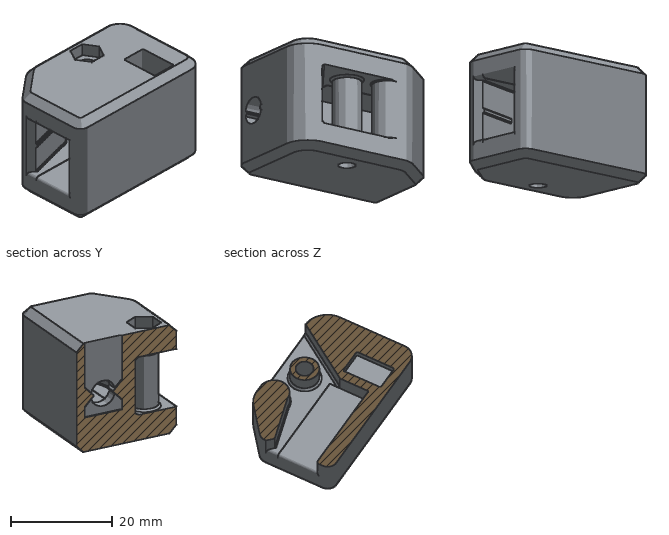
import cadquery as cq
import math


WIDTH = 22.7
DEPTH = 34.5
HEIGHT = 23.4
TOP = HEIGHT / 2
EDGE_CHAMFER = 1.6
CUT_CORNER_X = 6.52
CUT_CORNER_Y = 8.05
LEFT_RADIUS = 5.0
BACK_RIGHT_RADIUS = 3.0
CUT_CORNER_RADIUS = 2.5
FRONT_RIGHT_RADIUS = 2.0

CHAMBER_HEIGHT = 12.3
WINDOW_FRONT = 11.52
WINDOW_BACK = DEPTH - LEFT_RADIUS
BACK_WALL_Y = 20.9
SLANT_END_X = 12.75
SLANT_CHAMFER = 0.45

GUIDE_X = 9.07
GUIDE_NOSE_RADIUS = 3.1
GUIDE_END_Y = WINDOW_FRONT + GUIDE_NOSE_RADIUS
GUIDE_FOOT = 0.25
RIDGE_TIP_HALF = 0.3

CHANNEL_LEFT = 10.45
CHANNEL_RIGHT = 19.18
CHANNEL_HEIGHT = 12.5
OPENING_LEFT = 7.75
OPENING_RIGHT = 19.9
OPENING_HEIGHT = 13.9
LIP_SIZE = GUIDE_X - OPENING_LEFT

POST_X = 5.4
POST_Y = 19.65
POST_DIAMETER = 5.9
POST_FLARE = 0.45
SCREW_HOLE_DIAMETER = 3.5
NUT_FLATS = 5.9
NUT_DEPTH = 2.6

ROD_X = 16.55
ROD_HOLE_DIAMETER = 5.4
SLOT_WIDTH = 8.5
SLOT_FRONT = 23.05
SLOT_BACK = 28.45
SLOT_CORNER_RADIUS = 0.35
SLOT_FLOOR = -SLOT_WIDTH / 2
WAIST_WIDTH = 4.35
WAIST_HALF_HEIGHT = 0.1

OVERRUN = 0.35


def prism(outline, height):
    """Extrude a closed XY outline symmetrically about Z = 0."""
    return outline.close().extrude(height / 2, both=True)


def round_upright_edge(solid, x, y, radius):
    """Fillet the vertical edge that stands at (x, y)."""
    return solid.edges("|Z").edges(cq.NearestToPointSelector((x, y, 0))).fillet(radius)


def make_body():
    outline = (
        cq.Workplane("XY")
        .moveTo(CUT_CORNER_X, 0)
        .lineTo(WIDTH, 0)
        .lineTo(WIDTH, DEPTH)
        .lineTo(0, DEPTH)
        .lineTo(0, CUT_CORNER_Y)
    )
    body = prism(outline, HEIGHT)
    corners = [
        (CUT_CORNER_X, 0, CUT_CORNER_RADIUS),
        (WIDTH, 0, FRONT_RIGHT_RADIUS),
        (WIDTH, DEPTH, BACK_RIGHT_RADIUS),
        (0, DEPTH, LEFT_RADIUS),
        (0, CUT_CORNER_Y, LEFT_RADIUS),
    ]
    for x, y, radius in corners:
        body = round_upright_edge(body, x, y, radius)
    return body.faces("|Z").edges().chamfer(EDGE_CHAMFER)


def chamber_prism(height):
    """Plan of the roller chamber: front lip, guide wall, side window, slanted wall."""
    outline = (
        cq.Workplane("XY")
        .moveTo(CHANNEL_RIGHT, 0)
        .lineTo(OPENING_LEFT, 0)
        .lineTo(GUIDE_X, LIP_SIZE)
        .lineTo(2 * GUIDE_NOSE_RADIUS, WINDOW_FRONT)
        .threePointArc((GUIDE_NOSE_RADIUS, GUIDE_END_Y), (0, WINDOW_FRONT))
        .lineTo(-OVERRUN, WINDOW_FRONT)
        .lineTo(-OVERRUN, WINDOW_BACK)
        .lineTo(0, WINDOW_BACK)
        .lineTo(SLANT_END_X, BACK_WALL_Y)
        .lineTo(CHANNEL_RIGHT, BACK_WALL_Y)
    )
    return prism(outline, height)


def horizontal_edges_in(solid, low, high):
    """Floor and ceiling edges of the chamber whose centres lie in an XY box."""
    box = cq.selectors.BoxSelector((*low, -HEIGHT), (*high, HEIGHT))
    return solid.faces("|Z").edges(box)


def make_post():
    post = cq.Workplane("XY").circle(POST_DIAMETER / 2).extrude(CHAMBER_HEIGHT / 2, both=True)
    for side in (-1, 1):
        flare = (
            cq.Workplane("XY")
            .workplane(offset=side * CHAMBER_HEIGHT / 2)
            .circle(POST_DIAMETER / 2 + POST_FLARE)
            .workplane(offset=-side * POST_FLARE)
            .circle(POST_DIAMETER / 2)
            .loft()
        )
        post = post.union(flare)
    return post.translate((POST_X, POST_Y, 0))


def make_guide_ridge():
    """Low ridge along the middle of the guide wall, with 45 degree flanks, cut off flush with the lip."""
    run_x = 2 * GUIDE_NOSE_RADIUS - GUIDE_X
    run_y = WINDOW_FRONT - LIP_SIZE
    across_wall = cq.Plane(origin=(GUIDE_X, LIP_SIZE, 0), xDir=(run_y, -run_x, 0), normal=(run_x, run_y, 0))
    base_half = RIDGE_TIP_HALF + GUIDE_FOOT
    ridge = (
        cq.Workplane(across_wall)
        .moveTo(-OVERRUN, -base_half)
        .lineTo(0, -base_half)
        .lineTo(GUIDE_FOOT, -RIDGE_TIP_HALF)
        .lineTo(GUIDE_FOOT, RIDGE_TIP_HALF)
        .lineTo(0, base_half)
        .lineTo(-OVERRUN, base_half)
        .close()
        .extrude(math.hypot(run_x, run_y))
    )
    behind_lip = (
        cq.Workplane("XY")
        .moveTo(OPENING_LEFT, 0)
        .lineTo(OPENING_LEFT + DEPTH, DEPTH)
        .lineTo(0, DEPTH)
        .lineTo(0, 0)
    )
    return ridge.intersect(prism(behind_lip, HEIGHT))


def make_chamber():
    chamber = chamber_prism(CHAMBER_HEIGHT)
    guide_low = (0, LIP_SIZE)
    guide_high = (GUIDE_X, GUIDE_END_Y + OVERRUN)
    chamber = horizontal_edges_in(chamber, guide_low, guide_high).chamfer(GUIDE_FOOT)
    slant_low = (0, BACK_WALL_Y + OVERRUN)
    slant_high = (SLANT_END_X, WINDOW_BACK - OVERRUN)
    chamber = horizontal_edges_in(chamber, slant_low, slant_high).chamfer(SLANT_CHAMFER)
    return chamber.cut(make_post()).cut(make_guide_ridge())


def bellmouth(inner_height, left, right):
    """Front opening whose floor and ceiling curve in to the inner height."""
    radius = (OPENING_HEIGHT - inner_height) / 2
    outer = OPENING_HEIGHT / 2
    inner = inner_height / 2
    bend = radius * (1 - math.sqrt(0.5))
    return (
        cq.Workplane("YZ", origin=(left, 0, 0))
        .moveTo(0, -outer)
        .threePointArc((bend, -inner - bend), (radius, -inner))
        .lineTo(radius, inner)
        .threePointArc((bend, inner + bend), (0, outer))
        .close()
        .extrude(right - left)
    )


def make_channel():
    straight = cq.Workplane("XY").box(
        CHANNEL_RIGHT - CHANNEL_LEFT, BACK_WALL_Y, CHANNEL_HEIGHT, centered=(False, False, True)
    ).translate((CHANNEL_LEFT, 0, 0))
    radius = OPENING_RIGHT - CHANNEL_RIGHT
    bend = radius * (1 - math.sqrt(0.5))
    plan = (
        cq.Workplane("XY")
        .moveTo(CHANNEL_LEFT, 0)
        .lineTo(OPENING_RIGHT, 0)
        .threePointArc((CHANNEL_RIGHT + bend, bend), (CHANNEL_RIGHT, radius))
        .lineTo(CHANNEL_LEFT, radius)
    )
    right_mouth = bellmouth(CHANNEL_HEIGHT, CHANNEL_LEFT, OPENING_RIGHT).intersect(prism(plan, HEIGHT))
    left_mouth = bellmouth(CHAMBER_HEIGHT, OPENING_LEFT, CHANNEL_LEFT).intersect(chamber_prism(HEIGHT))
    return straight.union(right_mouth).union(left_mouth)


def make_screw_hole():
    hole = cq.Workplane("XY").circle(SCREW_HOLE_DIAMETER / 2).extrude(TOP, both=True)
    nut = (
        cq.Workplane("XY")
        .workplane(offset=TOP - NUT_DEPTH)
        .polygon(6, NUT_FLATS, circumscribed=True)
        .extrude(NUT_DEPTH)
    )
    return hole.union(nut).translate((POST_X, POST_Y, 0))


def make_waist_ridge(side):
    """Ridge with 45 degree flanks that pinches the rod hole and slot at mid height, on one side."""
    half_base = WAIST_HALF_HEIGHT + (SLOT_WIDTH - WAIST_WIDTH) / 2
    return (
        cq.Workplane("XZ", origin=(ROD_X, BACK_WALL_Y, 0))
        .moveTo(side * SLOT_WIDTH / 2, -half_base)
        .lineTo(side * WAIST_WIDTH / 2, -WAIST_HALF_HEIGHT)
        .lineTo(side * WAIST_WIDTH / 2, WAIST_HALF_HEIGHT)
        .lineTo(side * SLOT_WIDTH / 2, half_base)
        .close()
        .extrude(BACK_WALL_Y - DEPTH)
    )


def make_rod_passage():
    """Rod hole through the back wall and the slot that drops into it from the top."""
    slot = (
        cq.Workplane("XY")
        .workplane(offset=SLOT_FLOOR)
        .rect(SLOT_WIDTH, SLOT_BACK - SLOT_FRONT)
        .extrude(TOP - SLOT_FLOOR)
        .edges("|Z")
        .fillet(SLOT_CORNER_RADIUS)
        .translate((ROD_X, (SLOT_FRONT + SLOT_BACK) / 2, 0))
    )
    hole = (
        cq.Workplane("XZ", origin=(ROD_X, BACK_WALL_Y, 0))
        .circle(ROD_HOLE_DIAMETER / 2)
        .extrude(BACK_WALL_Y - DEPTH)
    )
    return slot.union(hole).cut(make_waist_ridge(-1)).cut(make_waist_ridge(1))


result = make_body()
result = result.cut(make_chamber()).cut(make_channel())
result = result.cut(make_screw_hole()).cut(make_rod_passage())